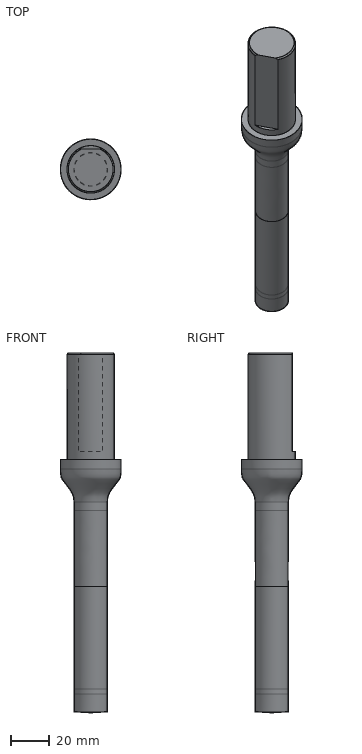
import cadquery as cq

total_length = 189.0
shank_diameter = 25.0
shank_chamfer = 0.8
collar_diameter = 32.0
collar_top = 133.0
collar_bottom = 128.0

flat_distance = 10.8
flat_bottom = 137.2

taper_shoulder_radius = 14.5
taper_shoulder_height = 121.9
taper_foot_radius = 9.5
taper_foot_height = 114.5

land_diameter = 17.5
stem_diameter = 17.4
neck_top = 110.8
neck_bottom = 106.2
joint_height = 66.3
tip_cone_top = 12.7
tip_cone_bottom = 9.8
end_cone_height = 0.5

shank_radius = shank_diameter / 2
collar_radius = collar_diameter / 2
land_radius = land_diameter / 2
stem_radius = stem_diameter / 2


def revolve_about_z(profile):
    return profile.revolve(360, (0, 0, 0), (0, 1, 0))


def make_holder():
    """Shank, collar, taper, neck land and upper stem, with a flat on the shank."""
    taper_points = [
        (taper_foot_radius, taper_foot_height),
        (taper_shoulder_radius, taper_shoulder_height),
        (collar_radius, collar_bottom),
    ]
    straight_up = (0, 1)
    profile = (
        cq.Workplane("XZ")
        .moveTo(0, joint_height)
        .lineTo(stem_radius, joint_height)
        .lineTo(land_radius, neck_bottom)
        .lineTo(land_radius, neck_top)
        .spline(taper_points, tangents=[straight_up, straight_up], includeCurrent=True)
        .lineTo(collar_radius, collar_top)
        .lineTo(shank_radius, collar_top)
        .lineTo(shank_radius, total_length - shank_chamfer)
        .lineTo(shank_radius - shank_chamfer, total_length)
        .lineTo(0, total_length)
        .close()
    )
    flat_cut = (
        cq.Workplane("XY", origin=(0, flat_distance, flat_bottom))
        .rect(2 * shank_diameter, 2 * (shank_radius - flat_distance))
        .extrude(total_length - flat_bottom)
        .translate((0, shank_radius - flat_distance, 0))
    )
    return revolve_about_z(profile).cut(flat_cut)


def make_tip():
    """Lower stem ending in a slightly larger land with a shallow pointed end."""
    profile = (
        cq.Workplane("XZ")
        .lineTo(land_radius, end_cone_height)
        .lineTo(land_radius, tip_cone_bottom)
        .lineTo(stem_radius, tip_cone_top)
        .lineTo(stem_radius, joint_height)
        .lineTo(0, joint_height)
        .close()
    )
    return revolve_about_z(profile)


holder = make_holder()
tip = make_tip()
result = cq.Compound.makeCompound([holder.val(), tip.val()])